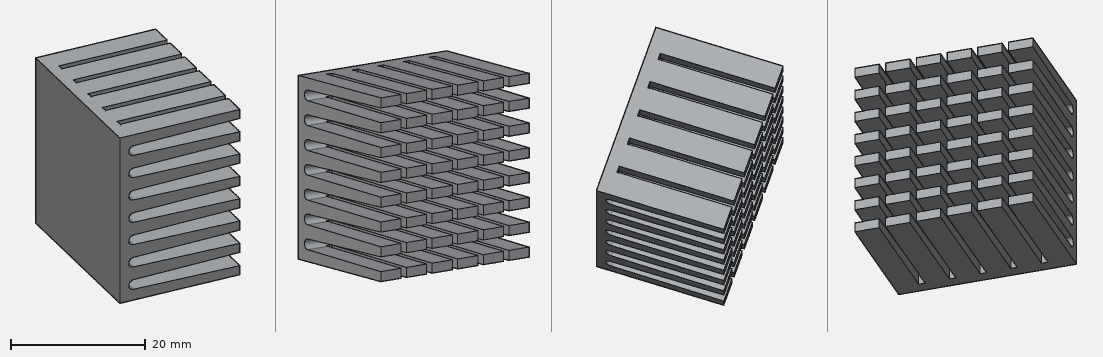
import cadquery as cq
import math

side = 28.0
depth = 20.0

channel_count = 7
channel_floor = 1.5
channel_radius = 0.8
draft = math.radians(1.0)

cut_count = 5
cut_width = 1.0
cut_floor = 2.0

arc_center_y = channel_floor + channel_radius
tangent_y = arc_center_y - channel_radius * math.sin(draft)
tangent_half = channel_radius * math.cos(draft)
mouth_half = tangent_half + (depth - tangent_y) * math.tan(draft)

channel_pitch = (side + 2 * mouth_half) / (channel_count + 1)
cut_pitch = (side + cut_width) / (cut_count + 1)


def row_positions(count, pitch):
    """Positions of equally spaced gaps, centred on zero."""
    return [(i - (count - 1) / 2) * pitch for i in range(count)]


def channel(z):
    """Round-floored channel through the full X width, centred at height z."""
    return (
        cq.Workplane("YZ")
        .moveTo(depth, z - mouth_half)
        .lineTo(tangent_y, z - tangent_half)
        .threePointArc((channel_floor, z), (tangent_y, z + tangent_half))
        .lineTo(depth, z + mouth_half)
        .close()
        .extrude(side / 2, both=True)
    )


def saw_cut(x):
    """Flat-floored cut through the full Z height, centred at x."""
    return (
        cq.Workplane("XY")
        .box(cut_width, depth - cut_floor, side, centered=(True, False, True))
        .translate((x, cut_floor, 0))
    )


result = cq.Workplane("XY").box(side, depth, side, centered=(True, False, True))

for z in row_positions(channel_count, channel_pitch):
    result = result.cut(channel(z))

for x in row_positions(cut_count, cut_pitch):
    result = result.cut(saw_cut(x))